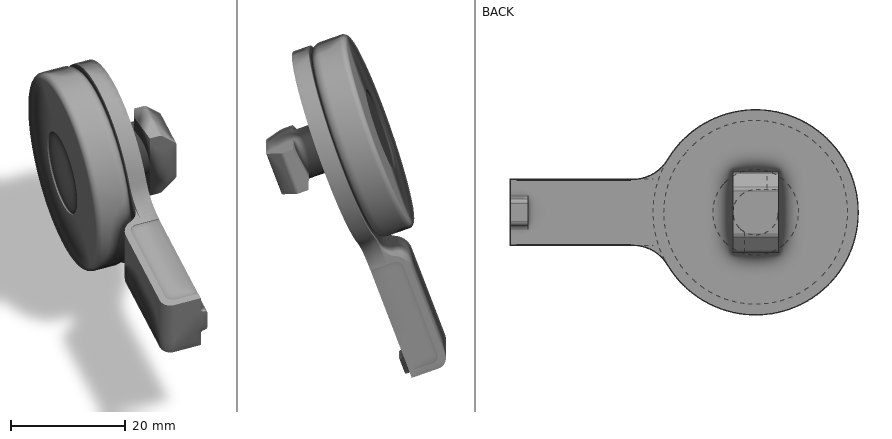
import cadquery as cq
import math

disc_radius = 18.0
flange_thickness = 3.1
knob_front = -9.95
knob_back_round = 1.9
knob_front_round = 1.0
recess_diameter = 15.0
recess_depth = 0.3

arm_end = 43.0
arm_width = 11.6
arm_front = -6.95
bend_start = disc_radius
bend_end = 24.0
arm_corner_round = 1.95
blend_radius = 7.0
shell_thickness = 1.2
infill_start = 21.95
infill_round = 1.5
infill_inset = 0.2

catch_length = 3.1
catch_height = 1.3
catch_round = 0.75
catch_flank_width = 0.75
catch_width = 6.1
catch_root = 0.6

stud_radius = 3.95
head_top = 9.95
head_half_length = 7.1
head_underside = 4.95
head_chamfer = 2.9
head_edge_round = 0.9
ramp_peak_height = 4.15
ramp_peak_x = -1.95


def box(x_range, y_range, z_range):
    """Box spanning the given ranges."""
    size = [high - low for low, high in (x_range, y_range, z_range)]
    corner = (x_range[0], y_range[0], z_range[0])
    return cq.Workplane("XY").box(*size, centered=False).translate(corner)


def along_y(workplane_y):
    """Sketch plane facing -Y at the given Y position."""
    return cq.Workplane("XZ", origin=(0, workplane_y, 0))


def make_knob():
    flange = along_y(0).circle(disc_radius).extrude(flange_thickness)
    body = along_y(-flange_thickness).circle(disc_radius).extrude(-knob_front - flange_thickness)
    body = body.faces(">Y").edges().fillet(knob_back_round)
    body = body.faces("<Y").edges().fillet(knob_front_round)
    recess = along_y(knob_front + recess_depth).circle(recess_diameter / 2).extrude(recess_depth)
    return flange.union(body).cut(recess)


def make_neck():
    """Flat web joining the disc to the arm with an arc tangent to both on each side."""
    half_width = arm_width / 2
    centre_z = half_width + blend_radius
    centre_x = math.sqrt((disc_radius + blend_radius) ** 2 - centre_z ** 2)
    disc_angle = math.atan2(centre_z, centre_x)
    start = (disc_radius * math.cos(disc_angle), disc_radius * math.sin(disc_angle))
    middle_angle = (disc_angle + math.pi / 2) / 2
    middle = (
        centre_x - blend_radius * math.cos(middle_angle),
        centre_z - blend_radius * math.sin(middle_angle),
    )
    return (
        along_y(0)
        .moveTo(0, start[1])
        .lineTo(*start)
        .threePointArc(middle, (centre_x, half_width))
        .lineTo(infill_start, half_width)
        .lineTo(infill_start, -half_width)
        .lineTo(centre_x, -half_width)
        .threePointArc((middle[0], -middle[1]), (start[0], -start[1]))
        .lineTo(0, -start[1])
        .close()
        .extrude(flange_thickness)
    )


def make_arm():
    """Bent arm whose side faces are shallowly recessed inside the rim."""
    half_width = arm_width / 2
    run = bend_end - bend_start
    drop = -arm_front - flange_thickness
    bend_radius = (run ** 2 + drop ** 2) / (4 * drop)
    half_angle = math.asin(run / (2 * bend_radius)) / 2
    arc_x = bend_radius * math.sin(half_angle)
    arc_y = bend_radius * (1 - math.cos(half_angle))
    middle = ((bend_start + bend_end) / 2, (arm_front - flange_thickness) / 2)
    arm = (
        cq.Workplane("XY", origin=(0, 0, -half_width))
        .moveTo(bend_start, 0)
        .lineTo(bend_start, -flange_thickness)
        .threePointArc((bend_start + arc_x, -flange_thickness - arc_y), middle)
        .threePointArc((bend_end - arc_x, arm_front + arc_y), (bend_end, arm_front))
        .lineTo(arm_end, arm_front)
        .lineTo(arm_end, 0)
        .close()
        .extrude(arm_width)
    )
    arm = arm.edges("|Z and >X and <Y").fillet(arm_corner_round)

    infill_end = arm_end - shell_thickness
    infill_front = arm_front + shell_thickness
    for z_range in ((half_width - infill_inset, half_width), (-half_width, infill_inset - half_width)):
        pocket = box((infill_start, infill_end), (infill_front, 0), z_range)
        arm = arm.cut(pocket.edges("|Z and <Y").fillet(infill_round))
    return arm


def make_catch():
    """Rounded ridge along X on the back of the lever tip, flared at its base."""
    crown_edge = catch_width / 2 - 2 * catch_flank_width
    middle_edge = crown_edge + catch_flank_width
    base_edge = catch_width / 2
    diagonal = math.sqrt(0.5)
    base_flare = catch_height - catch_round
    crown_bend = (crown_edge + catch_flank_width * diagonal, base_flare + catch_round * diagonal)
    base_bend = (base_edge - catch_flank_width * diagonal, base_flare * (1 - diagonal))
    return (
        cq.Workplane("YZ", origin=(arm_end - catch_length, 0, 0))
        .moveTo(-catch_root, -base_edge)
        .lineTo(0, -base_edge)
        .threePointArc((base_bend[1], -base_bend[0]), (base_flare, -middle_edge))
        .threePointArc((crown_bend[1], -crown_bend[0]), (catch_height, -crown_edge))
        .lineTo(catch_height, crown_edge)
        .threePointArc((crown_bend[1], crown_bend[0]), (base_flare, middle_edge))
        .threePointArc((base_bend[1], base_bend[0]), (0, base_edge))
        .lineTo(-catch_root, base_edge)
        .close()
        .extrude(catch_length)
    )


def make_stud():
    """Stem with one square quadrant under a head with ramped locking faces."""
    stem = along_y(head_top - head_chamfer).circle(stud_radius).extrude(head_top - head_chamfer)
    stem = stem.union(box((-stud_radius, 0), (0, head_underside), (0, stud_radius)))

    head = box(
        (-stud_radius, stud_radius),
        (head_underside, head_top),
        (-head_half_length, head_half_length),
    )
    head = head.edges("|X and >Y").chamfer(head_chamfer)
    head = head.edges("|X and (not <Y)").fillet(head_edge_round)

    ramp = (
        cq.Workplane("XY")
        .polyline([
            (-stud_radius, head_underside),
            (ramp_peak_x, ramp_peak_height),
            (stud_radius, head_underside),
        ])
        .close()
        .extrude(head_half_length)
    )
    opposite_ramp = ramp.rotate((0, 0, 0), (0, 1, 0), 180)
    return stem.union(head).union(ramp).union(opposite_ramp)


result = make_knob().union(make_neck()).union(make_arm()).union(make_catch()).union(make_stud())